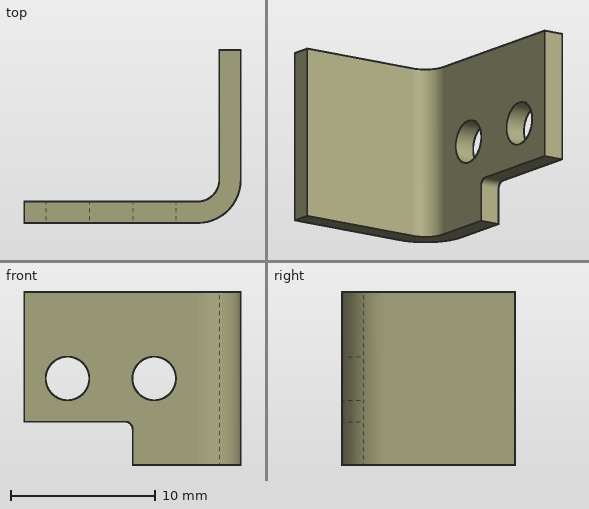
import cadquery as cq

length = 15.0
depth = 12.0
height = 12.0

thickness = 1.5
inner_radius = 1.5
outer_radius = inner_radius + thickness

notch_length = 7.5
notch_height = 3.0
notch_radius = 0.5

hole_diameter = 3.0
hole_height = 6.0
first_hole_x = 3.0
hole_spacing = 6.0


def bent_sheet():
    """L-shaped sheet with concentric inner and outer bend radii."""
    front_flange = cq.Workplane("XY").box(length, thickness, height, centered=False)
    side_flange = (
        cq.Workplane("XY")
        .box(thickness, depth, height, centered=False)
        .translate((length - thickness, 0, 0))
    )
    inner_corner = cq.selectors.NearestToPointSelector((length - thickness, thickness, height / 2))
    return (
        front_flange.union(side_flange)
        .edges(inner_corner)
        .fillet(inner_radius)
        .edges("|Z and >X and <Y")
        .fillet(outer_radius)
    )


def corner_notch():
    """Cutter for the notch, rounded at its inside corner."""
    return (
        cq.Workplane("XY")
        .box(notch_length, thickness, notch_height, centered=False)
        .edges("|Y and >X and >Z")
        .fillet(notch_radius)
    )


def flange_holes():
    """Cutters for the row of holes in the front flange."""
    hole_centers = [(first_hole_x + i * hole_spacing, hole_height) for i in range(2)]
    return (
        cq.Workplane("XZ")
        .pushPoints(hole_centers)
        .circle(hole_diameter / 2)
        .extrude(-thickness)
    )


result = bent_sheet().cut(corner_notch()).cut(flange_holes())